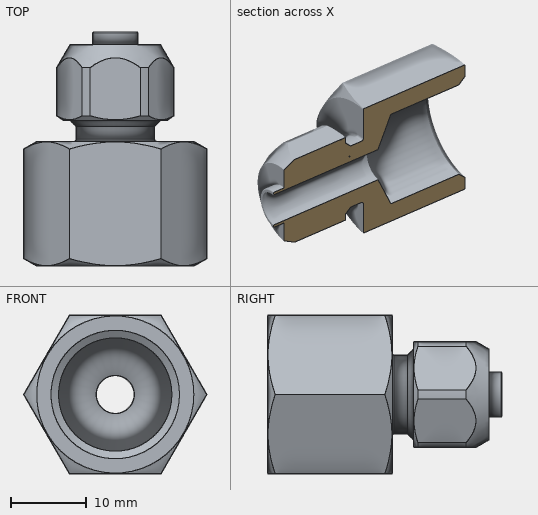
import cadquery as cq
import math

TOTAL_LENGTH = 31.0
THROUGH_BORE_D = 5.0
MOUTH_Y = 0.0

HEX_SIDES = 6
FACE_INSET = 0.2

BODY_ACROSS_FLATS = 21.0
BODY_LENGTH = 16.5
BODY_FACE_D = BODY_ACROSS_FLATS - FACE_INSET
BODY_CHAMFER_ANGLE = 30.0

NECK_D = 10.4
NECK_ROOT_FILLET = 0.3
NECK_STRAIGHT_END = 18.5
FLARE_LENGTH = 0.8

NUT_ACROSS_FLATS = 14.0
NUT_CORNER_D = 15.5
NUT_START = NECK_STRAIGHT_END + FLARE_LENGTH
NUT_LENGTH = 10.0
NUT_END = NUT_START + NUT_LENGTH
NUT_LOWER_FACE_D = NUT_ACROSS_FLATS - FACE_INSET
NUT_UPPER_FACE_D = 12.0
NUT_LOWER_CHAMFER_ANGLE = 35.0
NUT_UPPER_CONE_ANGLE = 60.0

STEM_D = 6.0
STEM_TIP_FILLET = 0.2

SOCKET_D = 15.0
SOCKET_MOUTH_D = 17.0
SOCKET_DEPTH = 12.0
SOCKET_POINT_ANGLE = 135.0


def rise(radial_step, angle):
    """Axial length of a cone that spans radial_step at this angle from the square plane."""
    return radial_step * math.tan(math.radians(angle))


def revolve_profile(points):
    """Revolve a closed (radius, y) outline about the Y axis."""
    return cq.Workplane("XY").polyline(points).close().revolve(360, (0, 0), (0, 1))


def across_corners(across_flats):
    """Corner-to-corner width of a hexagon."""
    return across_flats / math.cos(math.pi / HEX_SIDES)


def hexagon(across_flats, start, length):
    """Hexagonal bar along +Y with corners on the X axis and flats facing +Z and -Z."""
    return (
        cq.Workplane("XZ", origin=(0, start, 0))
        .polygon(HEX_SIDES, across_corners(across_flats))
        .extrude(-length)
    )


def make_body():
    """Large hexagon with conical chamfers at both ends."""
    corner_r = across_corners(BODY_ACROSS_FLATS) / 2
    face_r = BODY_FACE_D / 2
    chamfer = rise(corner_r - face_r, BODY_CHAMFER_ANGLE)
    envelope = revolve_profile([
        (0, MOUTH_Y),
        (face_r, MOUTH_Y),
        (corner_r, MOUTH_Y + chamfer),
        (corner_r, BODY_LENGTH - chamfer),
        (face_r, BODY_LENGTH),
        (0, BODY_LENGTH),
    ])
    return hexagon(BODY_ACROSS_FLATS, MOUTH_Y, BODY_LENGTH).intersect(envelope)


def make_neck():
    """Round neck with a fillet at the body and a flare up to the nut."""
    neck_r = NECK_D / 2
    root_r = neck_r + NECK_ROOT_FILLET
    flare_r = neck_r + FLARE_LENGTH
    fillet_offset = NECK_ROOT_FILLET * (1 - math.sqrt(0.5))
    return (
        cq.Workplane("XY")
        .moveTo(0, BODY_LENGTH)
        .lineTo(root_r, BODY_LENGTH)
        .threePointArc(
            (neck_r + fillet_offset, BODY_LENGTH + fillet_offset),
            (neck_r, BODY_LENGTH + NECK_ROOT_FILLET),
        )
        .lineTo(neck_r, NECK_STRAIGHT_END)
        .lineTo(flare_r, NUT_START)
        .lineTo(0, NUT_START)
        .close()
        .revolve(360, (0, 0), (0, 1))
    )


def make_nut():
    """Small hexagon trimmed by a chamfer, a corner cylinder and a steep end cone."""
    corner_r = NUT_CORNER_D / 2
    lower_r = NUT_LOWER_FACE_D / 2
    upper_r = NUT_UPPER_FACE_D / 2
    lower_chamfer = rise(corner_r - lower_r, NUT_LOWER_CHAMFER_ANGLE)
    upper_cone = rise(corner_r - upper_r, NUT_UPPER_CONE_ANGLE)
    envelope = revolve_profile([
        (0, NUT_START),
        (lower_r, NUT_START),
        (corner_r, NUT_START + lower_chamfer),
        (corner_r, NUT_END - upper_cone),
        (upper_r, NUT_END),
        (0, NUT_END),
    ])
    return hexagon(NUT_ACROSS_FLATS, NUT_START, NUT_LENGTH).intersect(envelope)


def make_stem():
    """Short round stem with a rounded tip."""
    length = TOTAL_LENGTH - NUT_END
    return (
        cq.Workplane("XZ", origin=(0, NUT_END, 0))
        .circle(STEM_D / 2)
        .extrude(-length)
        .faces(">Y")
        .edges()
        .fillet(STEM_TIP_FILLET)
    )


def make_cavity():
    """Chamfered socket with a conical floor running into the through bore."""
    mouth_r = SOCKET_MOUTH_D / 2
    socket_r = SOCKET_D / 2
    bore_r = THROUGH_BORE_D / 2
    mouth_chamfer = mouth_r - socket_r
    floor_cone = (socket_r - bore_r) / math.tan(math.radians(SOCKET_POINT_ANGLE / 2))
    return revolve_profile([
        (0, MOUTH_Y),
        (mouth_r, MOUTH_Y),
        (socket_r, MOUTH_Y + mouth_chamfer),
        (socket_r, SOCKET_DEPTH),
        (bore_r, SOCKET_DEPTH + floor_cone),
        (bore_r, TOTAL_LENGTH),
        (0, TOTAL_LENGTH),
    ])


solid_fitting = make_body().union(make_neck()).union(make_nut()).union(make_stem())
result = solid_fitting.cut(make_cavity())